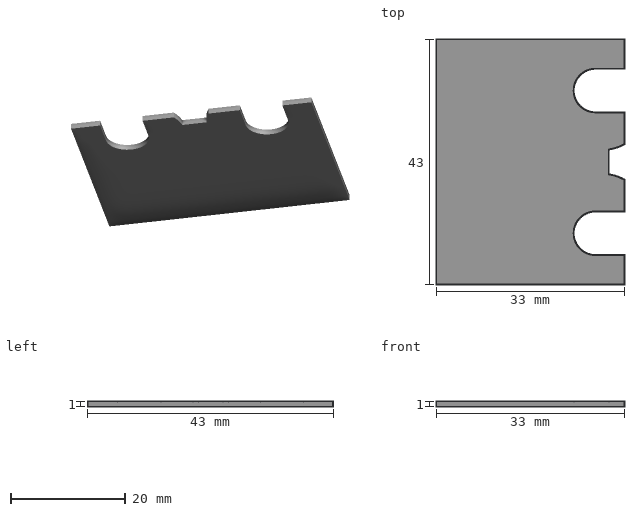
import cadquery as cq
import math

LENGTH = 33.0
WIDTH = 43.0
THICKNESS = 1.0

SLOT_SPACING = 25.0
SLOT_WIDTH = 7.6
SLOT_CENTER_INSET = 5.1

NOTCH_DEPTH = 2.75
NOTCH_FLOOR_WIDTH = 4.3
NOTCH_MOUTH_WIDTH = 6.2
NOTCH_FLANK_RADIUS = 8.0

EDGE_X = LENGTH / 2


def make_plate():
    return cq.Workplane("XY").box(LENGTH, WIDTH, THICKNESS, centered=(True, True, False))


def make_slot(center_y):
    radius = SLOT_WIDTH / 2
    center_x = EDGE_X - SLOT_CENTER_INSET
    return (
        cq.Workplane("XY")
        .moveTo(EDGE_X, center_y + radius)
        .lineTo(center_x, center_y + radius)
        .threePointArc((center_x - radius, center_y), (center_x, center_y - radius))
        .lineTo(EDGE_X, center_y - radius)
        .close()
        .extrude(THICKNESS)
    )


def flank_midpoint(floor, mouth):
    """Point halfway along the upper flank arc, offset from its chord toward the notch."""
    run = mouth[0] - floor[0]
    rise = mouth[1] - floor[1]
    chord = math.hypot(run, rise)
    bulge = NOTCH_FLANK_RADIUS - math.sqrt(NOTCH_FLANK_RADIUS**2 - (chord / 2) ** 2)
    mid_x = (floor[0] + mouth[0]) / 2
    mid_y = (floor[1] + mouth[1]) / 2
    return mid_x + bulge * rise / chord, mid_y - bulge * run / chord


def make_notch():
    floor = (EDGE_X - NOTCH_DEPTH, NOTCH_FLOOR_WIDTH / 2)
    mouth = (EDGE_X, NOTCH_MOUTH_WIDTH / 2)
    middle = flank_midpoint(floor, mouth)
    return (
        cq.Workplane("XY")
        .moveTo(*mouth)
        .threePointArc(middle, floor)
        .lineTo(floor[0], -floor[1])
        .threePointArc((middle[0], -middle[1]), (mouth[0], -mouth[1]))
        .close()
        .extrude(THICKNESS)
    )


result = make_plate()
for side in (-1, 1):
    result = result.cut(make_slot(side * SLOT_SPACING / 2))
result = result.cut(make_notch())